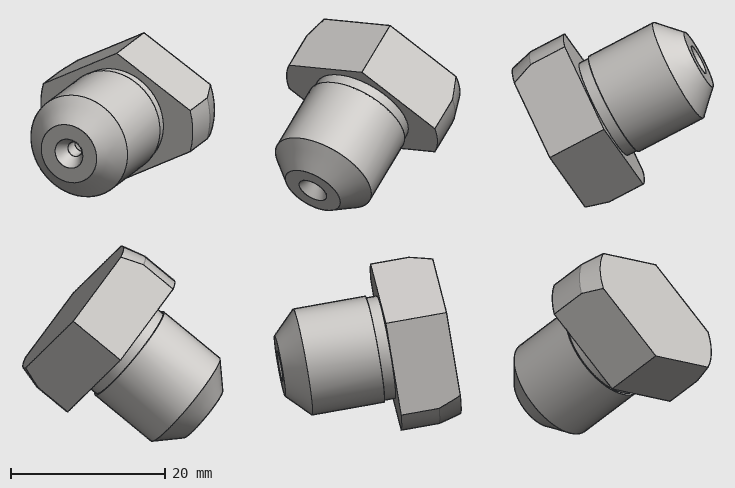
import cadquery as cq
import math

total_length = 22.0
head_length = 8.0
neck_length = 1.5
tip_length = 3.0
shank_end = total_length - head_length - neck_length
head_start = total_length - head_length

shank_radius = 7.0
neck_radius = 6.75
tip_radius = shank_radius - tip_length

head_height = 18.0
head_radius = 11.0
flat_angle = 30.0
bevel_length = 3.0
bevel_angle = 15.0

countersink_radius = 2.0
pilot_radius = countersink_radius / 2
countersink_half_angle = 30.0
pilot_length = 2.0
drill_half_angle = 60.0


def run_at(rise, angle):
    """Length over which a slope of the given angle climbs by rise."""
    return rise / math.tan(math.radians(angle))


def revolve_about_y(points):
    """Turn an (X, Y) half profile around the Y axis."""
    return cq.Workplane("XY").polyline(points).close().revolve(360, (0, 0), (0, 1))


def make_shank():
    return revolve_about_y([
        (0, 0),
        (tip_radius, 0),
        (shank_radius, tip_length),
        (shank_radius, shank_end),
        (neck_radius, shank_end),
        (neck_radius, head_start),
        (0, head_start),
    ])


def make_head():
    half_height = head_height / 2
    half_width = run_at(half_height, flat_angle)
    rhombus = (
        cq.Workplane("XZ", origin=(0, total_length, 0))
        .polyline([(0, half_height), (half_width, 0), (0, -half_height), (-half_width, 0)])
        .close()
        .extrude(head_length)
    )
    back_radius = head_radius - bevel_length * math.tan(math.radians(bevel_angle))
    bevelled_cylinder = revolve_about_y([
        (0, head_start),
        (head_radius, head_start),
        (head_radius, total_length - bevel_length),
        (back_radius, total_length),
        (0, total_length),
    ])
    return rhombus.intersect(bevelled_cylinder)


def make_centre_hole():
    countersink_depth = run_at(countersink_radius - pilot_radius, countersink_half_angle)
    pilot_end = countersink_depth + pilot_length
    drill_point = pilot_end + run_at(pilot_radius, drill_half_angle)
    return revolve_about_y([
        (0, 0),
        (countersink_radius, 0),
        (pilot_radius, countersink_depth),
        (pilot_radius, pilot_end),
        (0, drill_point),
    ])


result = make_head().union(make_shank()).cut(make_centre_hole())